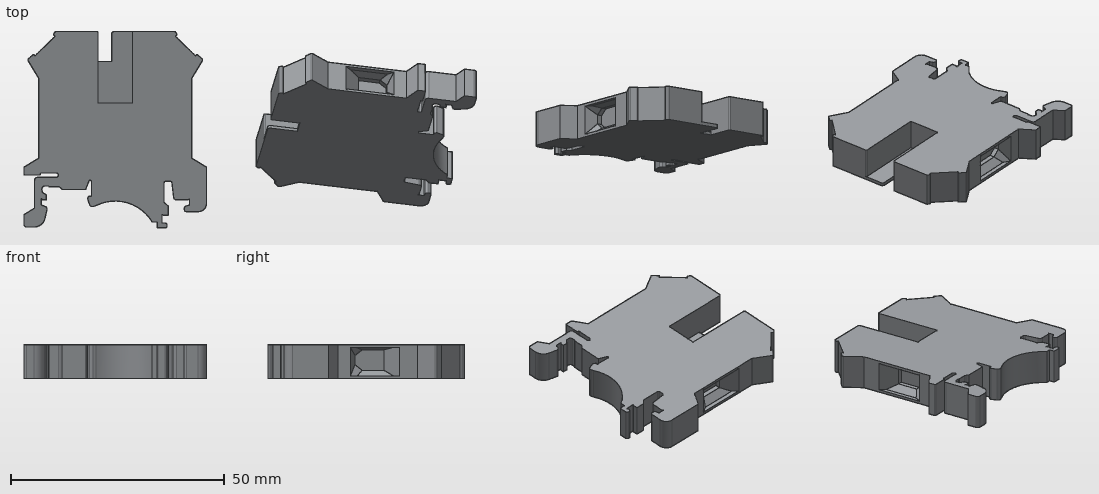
import cadquery as cq
import math


thickness = 8.0
height = 46.0
half_width = 21.4
wall_x = 17.95
wall_top = 35.0
wall_bottom = 16.35
shoulder_y = 14.2

slot_half = 4.0
mouth_overrun = 0.9
slot_bottom = 29.25
slot_floor_z = 0.8
cut_right = -0.87
cut_bottom = 39.0
slot_edge_radius = 0.3
cut_edge_radius = 0.65

lip_radius = 0.3
lip_inner_radius = 0.15

spring_slot_top = 12.85
spring_slot_bottom = 11.85
spring_slot_end = -13.35
spring_slot_radius = 0.45
shoulder_bottom = 12.37
leg_left = -18.9
leg_hook_x = -17.3
leg_right = -16.15
foot_bottom = 0.2
foot_toe_radius = 2.6
rail_seat_y = 8.95

web_left = -5.6
web_slit_top = 11.15
web_lip_top = 7.45
arch_radius = 10.07
arch_top = 6.25
arch_left_x = -4.5
arch_right_x = 8.65

tongue_left = 9.8
tongue_neck = 10.95
tongue_right = 12.4
tongue_foot_right = 12.15
tongue_foot_top = 1.15
tongue_foot_radius = 0.45
tongue_slot_left = 11.45
tongue_slot_top = 10.9
hook_inner = 17.35
hook_tip_x = 16.15
hook_bottom = 3.75
hook_corner_radius = 2.0
rail_top = 6.55
rail_bottom = 5.4
groove_relief_y = 6.8

entry_low_y = 19.27
entry_high_y = 30.75
entry_margin = 0.65
mouth_depth = 1.05
funnel_depth = 2.85
throat_depth = 1.15
throat_low_y = 20.4
throat_high_y = 27.15
throat_low_z = 2.0
throat_high_z = 6.75
chamfer_y = 1.65
chamfer_z = 1.35


def rounded_outline(corners):
    """Closed wire through (x, y, radius) corners; a zero radius leaves the corner sharp."""
    rounded = []
    count = len(corners)
    for i, (x, y, radius) in enumerate(corners):
        if radius == 0:
            rounded.append([(x, y)])
            continue
        before = corners[i - 1]
        after = corners[(i + 1) % count]
        to_before = cq.Vector(before[0] - x, before[1] - y).normalized()
        to_after = cq.Vector(after[0] - x, after[1] - y).normalized()
        half_angle = to_before.getAngle(to_after) / 2
        tangent = radius / math.tan(half_angle)
        reach = radius / math.sin(half_angle) - radius
        corner = cq.Vector(x, y)
        middle = corner + (to_before + to_after).normalized() * reach
        ends = (corner + to_before * tangent, middle, corner + to_after * tangent)
        rounded.append([(p.x, p.y) for p in ends])

    sketch = cq.Workplane("XY").moveTo(*rounded[0][-1])
    for points in rounded[1:] + rounded[:1]:
        sketch = sketch.lineTo(*points[0])
        if len(points) == 3:
            sketch = sketch.threePointArc(points[1], points[2])
    return sketch.close()


def arch_y(x):
    """Height of the rail arch, whose centre lies on the Y axis."""
    return arch_top - arch_radius + math.sqrt(arch_radius ** 2 - x ** 2)


upper_side = [
    (14.05, height, lip_radius),
    (14.6, 45.15, lip_radius),
    (14.08, 44.9, 0),
    (18.75, 40.3, 0),
    (19.15, 40.65, lip_inner_radius),
    (20.55, 39.38, lip_radius),
    (wall_x, wall_top, 0),
    (wall_x, wall_bottom, 0),
    (half_width, shoulder_y, 0),
]
left_side = [(-x, y, radius) for x, y, radius in upper_side]

left_foot = [
    (-half_width, shoulder_bottom, 0.25),
    (-17.55, shoulder_bottom, 0.2),
    (-17.45, spring_slot_top, 0),
    (spring_slot_end, spring_slot_top, spring_slot_radius),
    (spring_slot_end, spring_slot_bottom, spring_slot_radius),
    (leg_left, spring_slot_bottom, 0.75),
    (leg_left, 4.65, 0),
    (-half_width, 3.15, 0),
    (-half_width, foot_bottom, 0.65),
    (-16.95, foot_bottom, foot_toe_radius),
    (-15.82, 4.8, 0.65),
    (leg_hook_x, rail_bottom, 0),
    (leg_hook_x, groove_relief_y, 0),
    (-17.0, rail_top, 0),
    (leg_right, rail_top, 0),
    (leg_right, 7.8, 0.25),
    (-17.0, 8.25, 0.55),
    (-17.3, 9.8, 0.75),
    (-15.6, 9.8, 0),
    (-15.5, 9.6, 0),
    (-13.1, 9.6, 0.45),
    (-12.4, rail_seat_y, 0),
    (-6.9, rail_seat_y, 0),
    (-6.05, web_slit_top, 0.25),
    (web_left, web_slit_top, 0.25),
    (web_left, web_lip_top, 0),
    (-6.15, web_lip_top, 0.2),
    (-6.55, 6.9, 0.2),
    (-5.8, 4.8, 0.7),
    (arch_left_x, arch_y(arch_left_x), 0),
]

right_foot = [
    (arch_right_x, arch_y(arch_right_x), 0),
    (tongue_left, arch_y(arch_right_x), 0),
    (tongue_left, 0, 0.2),
    (tongue_foot_right, 0, tongue_foot_radius),
    (tongue_foot_right, tongue_foot_top, tongue_foot_radius),
    (tongue_neck, tongue_foot_top, 0),
    (tongue_neck, 3.1, 0),
    (11.3, 2.95, 0),
    (tongue_right, 2.95, 0.2),
    (tongue_right, 5.1, 0),
    (tongue_slot_left, 6.0, 0),
    (tongue_slot_left, tongue_slot_top, 0.35),
    (13.2, tongue_slot_top, 0.35),
    (13.7, rail_top, 0.75),
    (17.05, rail_top, 0),
    (hook_inner, groove_relief_y, 0),
    (hook_inner, rail_bottom, 0),
    (hook_tip_x, 5.0, 0.6),
    (hook_tip_x, hook_bottom, 0.55),
    (half_width, hook_bottom, hook_corner_radius),
]


def body():
    outline = left_side + left_foot + right_foot + upper_side[::-1]
    return rounded_outline(outline).extrude(thickness)


def rail_arch():
    """Circular segment between the arch ends, removed above their straight chord."""
    return (
        cq.Workplane("XY")
        .moveTo(arch_left_x, arch_y(arch_left_x))
        .threePointArc((0, arch_top), (arch_right_x, arch_y(arch_right_x)))
        .close()
        .extrude(thickness)
    )


def open_slot(left, right, bottom, left_radius, right_radius):
    """Slot open through the top edge, with rounded mouth corners; cuts the full thickness."""
    return rounded_outline([
        (left - mouth_overrun, height, 0),
        (left, height, left_radius),
        (left, bottom, 0),
        (right, bottom, 0),
        (right, height, right_radius),
        (right + mouth_overrun, height, 0),
        (right + mouth_overrun, height + mouth_overrun, 0),
        (left - mouth_overrun, height + mouth_overrun, 0),
    ]).extrude(thickness)


def stepped_slot():
    recess = open_slot(-slot_half, slot_half, slot_bottom, slot_edge_radius, slot_edge_radius)
    cut = open_slot(-slot_half, cut_right, cut_bottom, slot_edge_radius, cut_edge_radius)
    return recess.translate((0, 0, slot_floor_z)).union(cut)


def wire_entry():
    """Funnel with sloped faces and two clipped corners, leading into a straight throat."""
    mouth_low_z = entry_margin
    mouth_high_z = thickness - entry_margin
    trace_back = mouth_depth / (funnel_depth - mouth_depth)
    wall_low_z = mouth_low_z - (throat_low_z - mouth_low_z) * trace_back
    wall_high_z = mouth_high_z + (mouth_high_z - throat_high_z) * trace_back
    slope = chamfer_y / chamfer_z
    wall_clip_low_y = entry_low_y + (mouth_low_z - wall_low_z) * slope
    wall_clip_high_y = entry_low_y + (wall_high_z - mouth_high_z) * slope

    at_wall = [
        (entry_high_y, wall_low_z),
        (entry_high_y, wall_high_z),
        (wall_clip_high_y, wall_high_z),
        (entry_low_y, mouth_high_z),
        (entry_low_y, mouth_low_z),
        (wall_clip_low_y, wall_low_z),
    ]
    at_throat = [
        (throat_high_y, throat_low_z),
        (throat_high_y, throat_high_z),
        (throat_low_y + chamfer_y, throat_high_z),
        (throat_low_y, throat_high_z - chamfer_z),
        (throat_low_y, throat_low_z + chamfer_z),
        (throat_low_y + chamfer_y, throat_low_z),
    ]
    funnel = (
        cq.Workplane("YZ", origin=(-wall_x, 0, 0))
        .polyline(at_wall)
        .close()
        .workplane(offset=funnel_depth)
        .polyline(at_throat)
        .close()
        .loft(ruled=True)
    )
    mouth = cq.Workplane("XY").box(
        funnel_depth,
        entry_high_y - entry_low_y,
        mouth_high_z - mouth_low_z,
        centered=False,
    ).translate((-wall_x, entry_low_y, mouth_low_z))
    throat = (
        cq.Workplane("YZ", origin=(funnel_depth - wall_x, 0, 0))
        .polyline(at_throat)
        .close()
        .extrude(throat_depth)
    )
    return funnel.intersect(mouth).union(throat)


left_entry = wire_entry()
result = body().cut(rail_arch()).cut(stepped_slot())
result = result.cut(left_entry).cut(left_entry.mirror("YZ"))